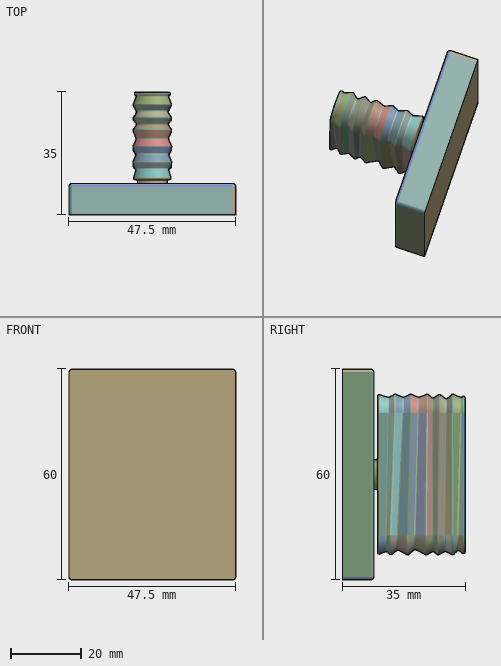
import cadquery as cq

BLOCK_WIDTH = 47.5
BLOCK_HEIGHT = 60.0
BLOCK_DEPTH = 9.0
BLOCK_ROUND = 0.9

GRIP_BACK = 35.0
GRIP_FRONT = 10.0
CAP_OFFSET = 17.4
EDGE_ROUND = 0.5
NECK_RADIUS = 4.25
HALF_SECTION_REACH = 12.0

CREST = 5.6
FRONT_LIP = 5.5
UPPER_CORNERS = [
    (GRIP_BACK, 5.45),
    (33.9, 4.55),
    (31.3, CREST),
    (29.6, 4.1),
    (27.65, CREST),
    (25.75, 4.3),
    (24.25, CREST),
    (21.65, 4.6),
    (19.45, CREST),
    (17.4, 4.6),
    (15.0, CREST),
    (13.15, 4.6),
    (GRIP_FRONT, FRONT_LIP),
]
LOWER_CORNERS = [
    (GRIP_BACK, 5.65),
    (32.95, 4.1),
    (31.5, CREST),
    (29.3, 4.5),
    (27.2, CREST),
    (25.9, 4.5),
    (23.9, CREST),
    (20.65, 3.9),
    (18.65, CREST),
    (15.8, 4.1),
    (13.75, CREST),
    (12.6, 4.5),
    (GRIP_FRONT, FRONT_LIP),
]


def make_block():
    """Plate with rounded corners and back edges and a sharp front outline."""
    plate = cq.Workplane("XY").box(
        BLOCK_WIDTH, BLOCK_DEPTH, BLOCK_HEIGHT, centered=(True, False, True)
    )
    return plate.edges("|Y").fillet(BLOCK_ROUND).faces(">Y").edges().fillet(BLOCK_ROUND)


def ridge_section(corners, height):
    """Symmetric ridged outline in a level plane, with all its corners rounded."""
    right_side = [cq.Vector(half_width, y, height) for y, half_width in corners]
    left_side = [cq.Vector(-half_width, y, height) for y, half_width in reversed(corners)]
    outline = cq.Wire.makePolygon(right_side + left_side, close=True)
    return outline.fillet2D(EDGE_ROUND, outline.Vertices())


def end_cap(section, height, angle):
    """Half turn of the +X half of a section about its own centre line."""
    length = GRIP_BACK - GRIP_FRONT
    right_half = (
        cq.Workplane("XY", origin=(0, GRIP_FRONT, height))
        .rect(HALF_SECTION_REACH, length, centered=False)
        .extrude(EDGE_ROUND, both=True)
        .val()
    )
    half_section = cq.Face.makeFromWires(section).intersect(right_half).Faces()[0]
    return cq.Solid.revolve(
        half_section, angle, cq.Vector(0, GRIP_FRONT, height), cq.Vector(0, GRIP_BACK, height)
    )


def make_neck():
    """Round neck that flares with a concave round where it meets the grip."""
    return (
        cq.Workplane("XY")
        .moveTo(0, BLOCK_DEPTH)
        .lineTo(NECK_RADIUS, BLOCK_DEPTH)
        .lineTo(NECK_RADIUS, GRIP_FRONT - EDGE_ROUND)
        .radiusArc((NECK_RADIUS + EDGE_ROUND, GRIP_FRONT), EDGE_ROUND)
        .lineTo(0, GRIP_FRONT)
        .close()
        .revolve(360, (0, 0, 0), (0, 1, 0))
    )


def make_grip():
    """Ruled middle between two differing sections, an end cap on each, and the neck."""
    upper = ridge_section(UPPER_CORNERS, CAP_OFFSET)
    lower = ridge_section(LOWER_CORNERS, -CAP_OFFSET)
    middle = cq.Workplane(cq.Solid.makeLoft([lower, upper], True))
    return (
        middle.union(cq.Workplane(end_cap(upper, CAP_OFFSET, -180)))
        .union(cq.Workplane(end_cap(lower, -CAP_OFFSET, 180)))
        .union(make_neck())
    )


block = make_block()
grip = make_grip()
result = cq.Compound.makeCompound([block.val(), grip.solids().val()])